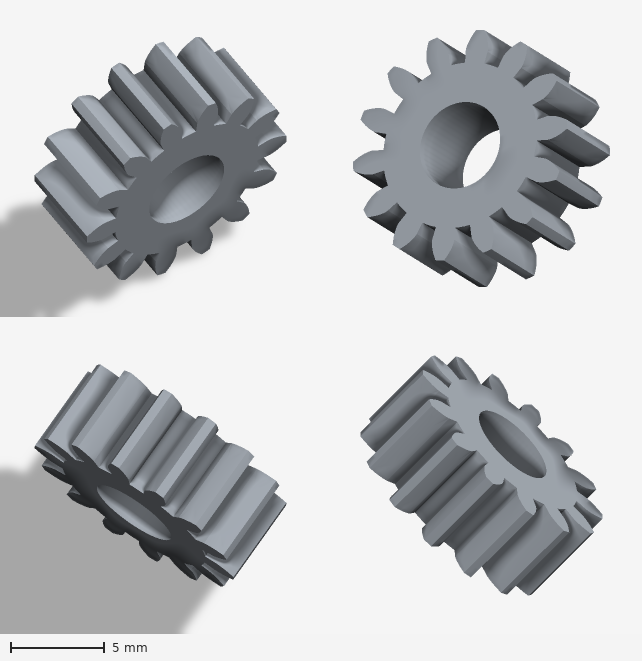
import cadquery as cq
import math

tooth_count = 14
outer_diameter = 12.8
face_width = 5.0
bore_diameter = 4.8
pressure_angle = math.radians(20)
first_tooth_angle = math.radians(-1.85)

dedendum_factor = 1.25
module = outer_diameter / (tooth_count + 2)
pitch_radius = module * tooth_count / 2
base_radius = pitch_radius * math.cos(pressure_angle)
root_radius = pitch_radius - dedendum_factor * module
tip_radius = outer_diameter / 2

tooth_pitch = 2 * math.pi / tooth_count
flank_points = 6


def involute_angle(radius):
    """Polar angle swept by the involute between the base circle and a radius."""
    slope = math.acos(base_radius / radius)
    return math.tan(slope) - slope


base_half_angle = tooth_pitch / 4 + involute_angle(pitch_radius)


def polar(radius, angle):
    return (radius * math.cos(angle), radius * math.sin(angle))


def involute_flank(centre, side):
    """Points from base to tip on one tooth flank; side is -1 or +1."""
    tip_roll = math.tan(math.acos(base_radius / tip_radius))
    points = []
    for i in range(flank_points):
        roll = tip_roll * i / (flank_points - 1)
        radius = base_radius * math.hypot(1, roll)
        half_angle = base_half_angle - (roll - math.atan(roll))
        points.append(polar(radius, centre + side * half_angle))
    return points


def gear_outline():
    start = polar(root_radius, first_tooth_angle - base_half_angle)
    outline = cq.Workplane("YZ", origin=(-face_width / 2, 0, 0)).moveTo(*start)
    for i in range(tooth_count):
        centre = first_tooth_angle + i * tooth_pitch
        rising = involute_flank(centre, -1)
        falling = involute_flank(centre, 1)[::-1]
        outline = (
            outline.lineTo(*rising[0])
            .spline(rising[1:], includeCurrent=True)
            .threePointArc(polar(tip_radius, centre), falling[0])
            .spline(falling[1:], includeCurrent=True)
            .lineTo(*polar(root_radius, centre + base_half_angle))
        )
        gap_middle = polar(root_radius, centre + tooth_pitch / 2)
        next_tooth = polar(root_radius, centre + tooth_pitch - base_half_angle)
        outline = outline.threePointArc(gap_middle, next_tooth)
    return outline.close()


gear = gear_outline().extrude(face_width)
bore = (
    cq.Workplane("YZ", origin=(-face_width / 2, 0, 0))
    .circle(bore_diameter / 2)
    .extrude(face_width)
)
result = gear.cut(bore)